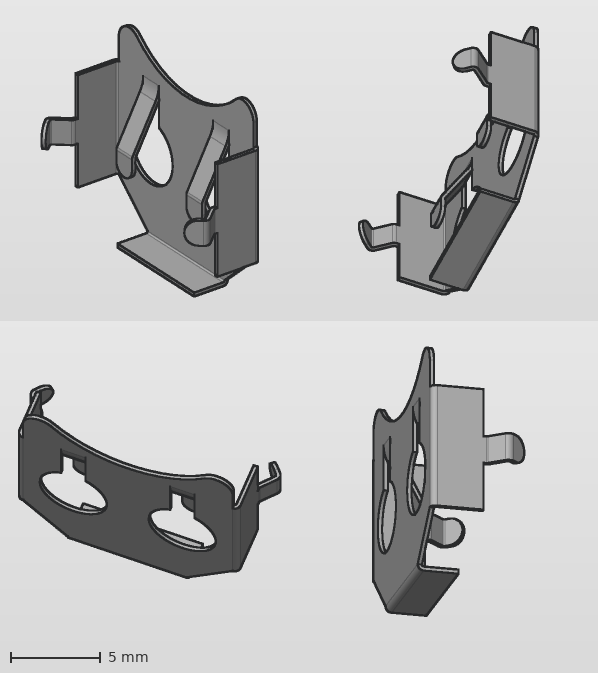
import cadquery as cq
import math

sheet = 0.25
inner_bend_radius = 0.1
outer_bend_radius = inner_bend_radius + sheet

overall_height = 12.5
plate_half_width = 6.25
plate_bottom = outer_bend_radius
ear_radius = 1.0
dip_bottom = 10.42

flange_width = 7.14
flange_depth = 2.35

wall_height = 7.12
wall_center_height = 6.35
wall_depth = 3.0
tab_width = 1.58
tab_neck_length = 0.17
tab_bend_angle = 41.0
tab_slope_length = 1.092
tab_tip_length = 1.08

tongue_spacing = 6.5
tongue_width = 1.445
tongue_root_height = 10.0
tongue_bend_angle = 28.0
tongue_root_radius = 1.95
tongue_slope_length = 3.4
tongue_tip_length = 1.42
window_diameter = 4.0
window_center_height = 5.49


def direction(angle):
    """Unit vector at an angle in degrees."""
    return cq.Vector(math.cos(math.radians(angle)), math.sin(math.radians(angle)))


def bent_strip(plane, start, heading, runs, width):
    """Sheet strip following a path in a plane, centred on that plane.

    Start is a point on the mid-line of the sheet and heading is in degrees. Each run is
    (straight length, turn angle, inner bend radius), with left turns positive.
    Returns the strip, and the mid-line point and heading at its end.
    """
    point = cq.Vector(*start)
    half = sheet / 2
    first_side = direction(heading + 90) * half
    left_start = point + first_side
    right_start = point - first_side
    left = []
    right = []
    for length, turn, inner_radius in runs:
        if length:
            point = point + direction(heading) * length
            side = direction(heading + 90) * half
            left.append((None, point + side))
            right.append((None, point - side))
        if turn:
            toward_center = math.copysign(90, turn)
            mid_radius = inner_radius + half
            center = point + direction(heading + toward_center) * mid_radius
            left_radius = mid_radius - math.copysign(half, turn)
            right_radius = mid_radius + math.copysign(half, turn)
            middle = direction(heading + turn / 2 - toward_center)
            end = direction(heading + turn - toward_center)
            left.append((center + middle * left_radius, center + end * left_radius))
            right.append((center + middle * right_radius, center + end * right_radius))
            heading += turn
            point = center + end * mid_radius

    outline = cq.Workplane(plane).moveTo(left_start.x, left_start.y)
    for middle, end in left:
        outline = add_edge(outline, middle, end)
    outline = outline.lineTo(right[-1][1].x, right[-1][1].y)
    right_ends = [right_start] + [end for _, end in right[:-1]]
    for (middle, _), end in zip(reversed(right), reversed(right_ends)):
        outline = add_edge(outline, middle, end)
    return outline.close().extrude(width / 2, both=True), point, heading


def add_edge(outline, middle, end):
    """Add a line, or an arc when a middle point is given."""
    if middle is None:
        return outline.lineTo(end.x, end.y)
    return outline.threePointArc((middle.x, middle.y), (end.x, end.y))


def rounded_tip(plane, point, heading, length, width):
    """Flat end of a strip, finished with a full half-round."""
    along = plane.toWorldCoords(point + direction(heading)) - plane.toWorldCoords(point)
    across = plane.toWorldCoords(point + direction(heading + 90)) - plane.toWorldCoords(point)
    tip_plane = cq.Plane(plane.toWorldCoords(point), along, across)
    radius = width / 2
    return (
        cq.Workplane(tip_plane)
        .moveTo(0, -radius)
        .lineTo(length - radius, -radius)
        .threePointArc((length, 0), (length - radius, radius))
        .lineTo(0, radius)
        .close()
        .extrude(sheet / 2, both=True)
    )


def mirrored_pair(body):
    return body.union(body.mirror("YZ"))


def make_plate():
    ear_x = plate_half_width - ear_radius
    ear_z = overall_height - ear_radius
    rise = ear_z - dip_bottom
    dip_radius = (ear_x**2 + rise**2 - ear_radius**2) / (2 * (rise + ear_radius))
    dip_center_z = dip_bottom + dip_radius
    tangent_share = ear_radius / (dip_radius + ear_radius)
    tangent_x = ear_x * (1 - tangent_share)
    tangent_z = ear_z + (dip_center_z - ear_z) * tangent_share
    wall_bottom = wall_center_height - wall_height / 2
    flange_half = flange_width / 2
    ear_side = ear_radius * math.sqrt(0.5)

    return (
        cq.Workplane("XZ")
        .moveTo(-flange_half, plate_bottom)
        .lineTo(flange_half, plate_bottom)
        .lineTo(plate_half_width, wall_bottom)
        .lineTo(plate_half_width, ear_z)
        .threePointArc((ear_x + ear_side, ear_z + ear_side), (ear_x, overall_height))
        .tangentArcPoint((tangent_x, tangent_z), relative=False)
        .threePointArc((0, dip_bottom), (-tangent_x, tangent_z))
        .tangentArcPoint((-ear_x, overall_height), relative=False)
        .threePointArc((-ear_x - ear_side, ear_z + ear_side), (-plate_half_width, ear_z))
        .lineTo(-plate_half_width, wall_bottom)
        .close()
        .extrude(sheet)
    )


def make_flange():
    runs = [(0, -90, inner_bend_radius), (flange_depth - outer_bend_radius, 0, 0)]
    flange, _, _ = bent_strip(cq.Plane.named("YZ"), (-sheet / 2, plate_bottom), -90, runs, flange_width)
    return flange


def make_side_wall():
    """Right-hand wall with its outward-kinked snap tab."""
    plane = cq.Plane.named("XY", (0, 0, wall_center_height))
    start = (plate_half_width, -sheet / 2)
    wall_runs = [(0, -90, inner_bend_radius), (wall_depth - outer_bend_radius, 0, 0)]
    wall, wall_end, heading = bent_strip(plane, start, 0, wall_runs, wall_height)
    tab_runs = [
        (tab_neck_length, tab_bend_angle, inner_bend_radius),
        (tab_slope_length, -2 * tab_bend_angle, inner_bend_radius),
    ]
    tab, tab_end, heading = bent_strip(plane, wall_end.toTuple(), heading, tab_runs, tab_width)
    tip = rounded_tip(plane, tab_end, heading, tab_tip_length, tab_width)
    return wall.union(tab).union(tip)


def make_window():
    """Round window joined to the slot that the tongue is bent out of."""
    center_x = tongue_spacing / 2
    slot_height = tongue_root_height - window_center_height
    slot = (
        cq.Workplane("XZ")
        .center(center_x, window_center_height + slot_height / 2)
        .rect(tongue_width, slot_height)
        .extrude(sheet)
    )
    hole = (
        cq.Workplane("XZ")
        .center(center_x, window_center_height)
        .circle(window_diameter / 2)
        .extrude(sheet)
    )
    return hole.union(slot)


def make_tongue():
    plane = cq.Plane.named("YZ", (tongue_spacing / 2, 0, 0))
    runs = [
        (0, -tongue_bend_angle, tongue_root_radius),
        (tongue_slope_length, tongue_bend_angle, inner_bend_radius),
    ]
    start = (-sheet / 2, tongue_root_height)
    tongue, tongue_end, heading = bent_strip(plane, start, -90, runs, tongue_width)
    tip = rounded_tip(plane, tongue_end, heading, tongue_tip_length, tongue_width)
    return tongue.union(tip)


result = (
    make_plate()
    .cut(mirrored_pair(make_window()))
    .union(mirrored_pair(make_tongue()))
    .union(make_flange())
    .union(mirrored_pair(make_side_wall()))
)